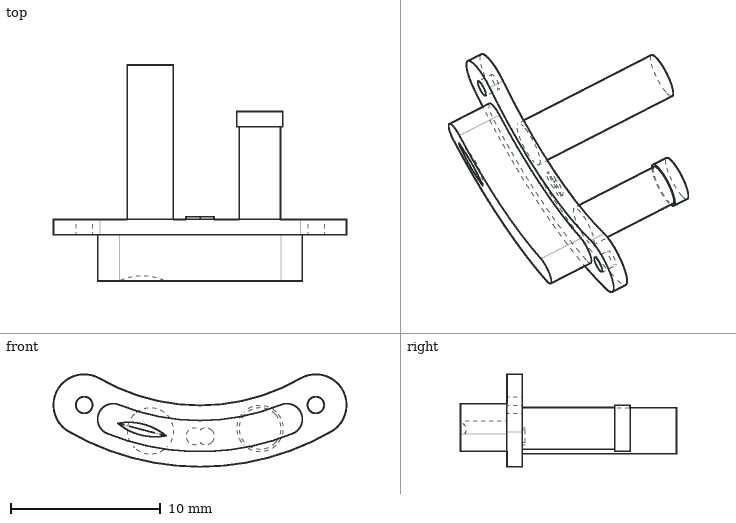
import cadquery as cq
import math

hole_half_spacing = 7.73
end_radius = 2.05
centerline_drop = 2.07
centerline_radius = (hole_half_spacing**2 + centerline_drop**2) / (2 * centerline_drop)
arc_center_z = centerline_radius - centerline_drop

plate_thickness = 1.04
hole_diameter = 1.1

boss_end_x = 5.8
boss_end_radius = 1.04
boss_length = 3.1

long_peg_x = -3.33
long_peg_diameter = 3.1
long_peg_length = 10.3
headed_peg_x = 4.0
headed_peg_diameter = 2.78
headed_peg_length = 7.2
head_diameter = long_peg_diameter
head_thickness = 1.04

pad_disc_offset = 0.37
pad_disc_diameter = 1.14
pad_height = 0.18

groove_x = -3.87
groove_length = 3.33
groove_depth = 0.37
groove_drop = 0.05

overlap = 0.2


def centerline_z(x):
    """Height of the centerline at x."""
    return arc_center_z - math.sqrt(centerline_radius**2 - x**2)


def curved_band(end_x, half_width, front_y, rear_y):
    """Round-ended band along the centerline, spanning front_y to rear_y."""
    end_z = centerline_z(end_x)

    def radial_point(side, offset):
        stretch = offset / centerline_radius
        x = side * end_x * (1 + stretch)
        z = end_z + (end_z - arc_center_z) * stretch
        return x, z

    def end_cap_point(side):
        x = side * (end_x + half_width * (arc_center_z - end_z) / centerline_radius)
        z = end_z + half_width * end_x / centerline_radius
        return x, z

    return (
        cq.Workplane("XZ", origin=(0, rear_y, 0))
        .moveTo(*radial_point(-1, half_width))
        .threePointArc((0, -centerline_drop - half_width), radial_point(1, half_width))
        .threePointArc(end_cap_point(1), radial_point(1, -half_width))
        .threePointArc((0, -centerline_drop + half_width), radial_point(-1, -half_width))
        .threePointArc(end_cap_point(-1), radial_point(-1, half_width))
        .close()
        .extrude(rear_y - front_y)
    )


def rear_disc(x, diameter, start_y, end_y):
    """Cylinder along Y, centered on the centerline at x."""
    return (
        cq.Workplane("XZ", origin=(x, start_y, centerline_z(x)))
        .circle(diameter / 2)
        .extrude(start_y - end_y)
    )


def groove_cutter(face_y):
    """Pointed spindle whose axis lies in the boss face, parallel to the centerline."""
    half_length = groove_length / 2
    tilt = math.degrees(math.asin(groove_x / centerline_radius))
    return (
        cq.Workplane("XY")
        .moveTo(-half_length, 0)
        .threePointArc((0, groove_depth), (half_length, 0))
        .close()
        .revolve(360, (-half_length, 0), (half_length, 0))
        .rotate((0, 0, 0), (0, 1, 0), -tilt)
        .translate((groove_x, face_y, centerline_z(groove_x) - groove_drop))
    )


plate = curved_band(hole_half_spacing, end_radius, -plate_thickness, 0)
holes = (
    cq.Workplane("XZ")
    .pushPoints([(-hole_half_spacing, 0), (hole_half_spacing, 0)])
    .circle(hole_diameter / 2)
    .extrude(plate_thickness)
)
plate = plate.cut(holes)

boss_face_y = -plate_thickness - boss_length
boss = curved_band(boss_end_x, boss_end_radius, boss_face_y, -plate_thickness + overlap)

long_peg = rear_disc(long_peg_x, long_peg_diameter, -overlap, long_peg_length)
headed_peg = rear_disc(headed_peg_x, headed_peg_diameter, -overlap, headed_peg_length)
head = rear_disc(headed_peg_x, head_diameter, headed_peg_length - head_thickness, headed_peg_length)

result = plate.union(boss).union(long_peg).union(headed_peg).union(head)

for side in (-1, 1):
    result = result.union(rear_disc(side * pad_disc_offset, pad_disc_diameter, -overlap, pad_height))

result = result.cut(groove_cutter(boss_face_y), clean=False)